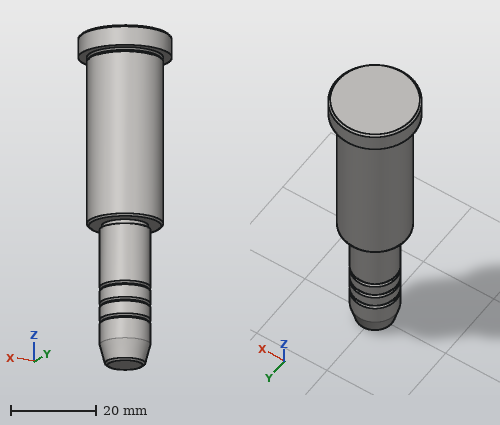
import cadquery as cq
import math

total_length = 80.0
edge_break = 0.5

head_radius = 22.0 / 2
head_height = 5.0
body_radius = 18.0 / 2
body_bottom = 34.0
shank_radius = 12.0 / 2

head_bottom = total_length - head_height
undercut_width = 2 * edge_break
undercut_radius = body_radius - edge_break
neck_length = 1.0
neck_radius = shank_radius - edge_break

lowest_groove_height = 10.5
groove_pitch = 4.0
groove_count = 3

taper_height = 5.0
taper_angle = 15.0
tip_radius = shank_radius - taper_height * math.tan(math.radians(taper_angle))


def cylinder(radius, bottom, top):
    return cq.Workplane("XY").workplane(offset=bottom).circle(radius).extrude(top - bottom)


def vee_groove(height):
    """Ring with a triangular section that cuts a 90 degree groove in the shank."""
    return (
        cq.Workplane("XZ")
        .moveTo(shank_radius, height - edge_break)
        .lineTo(shank_radius - edge_break, height)
        .lineTo(shank_radius, height + edge_break)
        .close()
        .revolve(360, (0, 0, 0), (0, 1, 0))
    )


head = cylinder(head_radius, head_bottom, total_length).faces(">Z").chamfer(edge_break)

body = (
    cylinder(body_radius, body_bottom, head_bottom - undercut_width)
    .faces("<Z")
    .chamfer(edge_break)
)

undercut = cylinder(undercut_radius, head_bottom - undercut_width, head_bottom - edge_break)
undercut_flare = (
    cq.Workplane("XY")
    .workplane(offset=head_bottom - edge_break)
    .circle(undercut_radius)
    .workplane(offset=edge_break)
    .circle(body_radius)
    .loft()
)

neck = cylinder(neck_radius, body_bottom - neck_length, body_bottom)
shank = cylinder(shank_radius, taper_height, body_bottom - neck_length)

lead_in = (
    cq.Workplane("XY")
    .circle(tip_radius)
    .workplane(offset=taper_height)
    .circle(shank_radius)
    .loft()
    .faces("<Z")
    .chamfer(edge_break)
)

result = head
for section in (undercut_flare, undercut, body, neck, shank, lead_in):
    result = result.union(section)

for index in range(groove_count):
    result = result.cut(vee_groove(lowest_groove_height + index * groove_pitch))